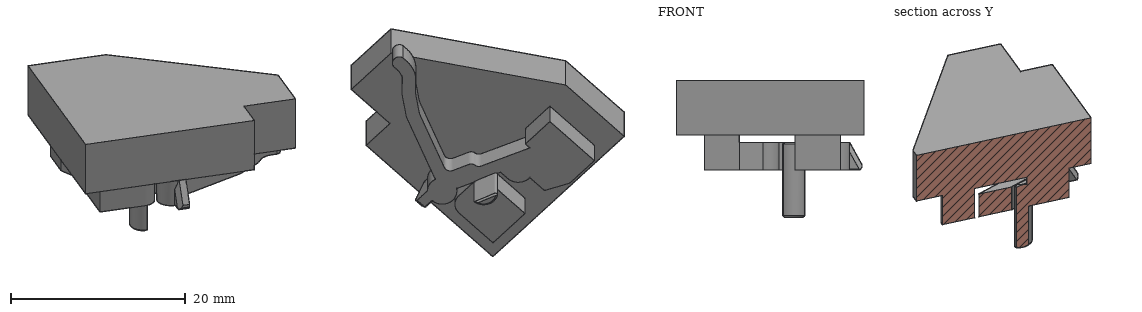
import cadquery as cq
import math


block_width = 21.5
block_length = 26.51
block_height = 6.3
bevel_start_y = 9.38
bevel_end_x = 11.1
notch_x = 17.6
notch_y = 20.3

foot_height = 3.99
left_foot_x = (3.2, 7.2)
left_foot_y = (1.65, 8.78)
right_foot_x = (13.58, 18.81)
right_foot_y = (2.6, 9.6)
right_foot_round = 1.55

lever_gap = 0.8
lever_height = foot_height - lever_gap
lever_angle = 23
lever_slope = math.tan(math.radians(lever_angle))
web_end_x = 9.92
web_end_y = 3.05
web_side_y = 5.42
shoulder_x = 11.77
shoulder_y = 7.05
band_front_y = 8.3
boss_center = (18.16, 11.39)
boss_radius = 1.68
step_low = (13.1, 10.57)
step_high = (13.25, 11.45)
step_round = 0.65
arm_root_round = 0.75

arm_width = 1.55
arm_root_y = 12.63
arm_bend_y = 20.17
arm_bend_round = 2.87
neck_angle = 36
neck_radius = 3.25
hook_angle = 55
hook_radius = 3.5
hook_left_x = 9.15
hook_center_y = 25.85
tip_arc_y = 26.51
tip_end_y = 27.1

nub_y = (11.25, 12.6)
nub_tip_x = 21.25
nub_tip_drop = 2.55
nub_tip_height = 0.33
nub_bottom_chamfer = 0.14
nub_base_x = 21.0
nub_chamfer = 0.55

pin_length = 9.43
pin_back_right = (14.72, 9.62)
pin_back_left = (12.3, 8.7)
pin_side_mid = (12.17, 8.49)
pin_front_left = (12.25, 8.3)
pin_front_mid = (13.0, 8.08)
pin_end_chamfer = 0.22


def box_between(x_range, y_range, height):
    """Box hanging below Z = 0."""
    width = x_range[1] - x_range[0]
    length = y_range[1] - y_range[0]
    box = cq.Workplane("XY").box(width, length, height, centered=False)
    return box.translate((x_range[0], y_range[0], -height))


def polar(center, radius, degrees):
    """Point at an angle measured from -X towards -Y around a center."""
    angle = math.radians(degrees)
    return (center[0] - radius * math.cos(angle), center[1] - radius * math.sin(angle))


def make_block():
    outline = [
        (0, 0),
        (block_width, 0),
        (block_width, notch_y),
        (notch_x, notch_y),
        (notch_x, block_length),
        (bevel_end_x, block_length),
        (0, bevel_start_y),
    ]
    return cq.Workplane("XY").polyline(outline).close().extrude(block_height)


def make_feet():
    left = box_between(left_foot_x, left_foot_y, foot_height)
    right = box_between(right_foot_x, right_foot_y, foot_height)
    right = right.edges("|Z and >Y").fillet(right_foot_round)
    return left.union(right)


def lever_plane():
    return cq.Workplane("XY").workplane(offset=-foot_height)


def make_arm(root_left, arm_bend, hook_center, neck_center):
    """Bent arm from the boss through a curved neck to the rounded hook tip."""
    neck_inner = -(neck_radius + arm_width)
    hook_inner = hook_radius - arm_width
    neck_mid_angle = (neck_angle + hook_angle) / 2
    hook_right_x = hook_left_x + arm_width
    tip_middle_x = hook_left_x + arm_width / 2
    return (
        lever_plane()
        .moveTo(*root_left)
        .lineTo(*arm_bend)
        .lineTo(*polar(neck_center, -neck_radius, neck_angle))
        .threePointArc(
            polar(neck_center, -neck_radius, neck_mid_angle),
            polar(neck_center, -neck_radius, hook_angle),
        )
        .threePointArc(polar(hook_center, hook_radius, hook_angle / 2), (hook_left_x, hook_center_y))
        .lineTo(hook_left_x, tip_arc_y)
        .threePointArc((tip_middle_x, tip_end_y), (hook_right_x, tip_arc_y))
        .lineTo(hook_right_x, hook_center_y)
        .threePointArc(
            polar(hook_center, hook_inner, hook_angle / 2),
            polar(hook_center, hook_inner, hook_angle),
        )
        .threePointArc(
            polar(neck_center, neck_inner, neck_mid_angle),
            polar(neck_center, neck_inner, neck_angle),
        )
        .lineTo(*polar(arm_bend, -arm_width, (lever_angle + neck_angle) / 2))
        .lineTo(*polar(root_left, -arm_width, lever_angle))
        .lineTo(*boss_center)
        .close()
        .extrude(lever_height)
    )


def make_lever():
    """Web beside the left foot, a band leading to the round boss, and the hooked arm."""
    hook_center = (hook_left_x + hook_radius, hook_center_y)
    neck_center = polar(hook_center, hook_radius + neck_radius, hook_angle)
    neck_end = polar(neck_center, -neck_radius, neck_angle)
    neck_slope = math.tan(math.radians(neck_angle))
    arm_bend = (neck_end[0] + (neck_end[1] - arm_bend_y) * neck_slope, arm_bend_y)
    root_left = (arm_bend[0] + (arm_bend_y - arm_root_y) * lever_slope, arm_root_y)
    arm = make_arm(root_left, arm_bend, hook_center, neck_center)
    foot_side = left_foot_x[1]
    back_y = step_low[1] - (step_low[0] - foot_side) * lever_slope
    band_end_y = band_front_y + (boss_center[0] - shoulder_x) * lever_slope
    shoulder_radius = shoulder_x - web_end_x
    quarter_turn_mid = math.sin(math.radians(45))
    shoulder_mid = (
        web_end_x + shoulder_radius * quarter_turn_mid,
        shoulder_y - (shoulder_y - web_side_y) * quarter_turn_mid,
    )
    web = (
        lever_plane()
        .moveTo(foot_side, left_foot_y[0])
        .lineTo(web_end_x, web_end_y)
        .lineTo(web_end_x, web_side_y)
        .threePointArc(shoulder_mid, (shoulder_x, shoulder_y))
        .lineTo(shoulder_x, band_front_y)
        .lineTo(boss_center[0], band_end_y)
        .lineTo(*boss_center)
        .lineTo(*root_left)
        .lineTo(*step_high)
        .lineTo(*step_low)
        .lineTo(foot_side, back_y)
        .close()
        .extrude(lever_height)
    )
    boss = lever_plane().center(*boss_center).circle(boss_radius).extrude(lever_height)
    lever = web.union(arm).union(boss)
    rounds = [
        (step_low, step_round),
        (step_high, step_round),
        (root_left, arm_root_round),
        (arm_bend, arm_bend_round),
    ]
    for corner, radius in rounds:
        middle = (*corner, -foot_height + lever_height / 2)
        lever = lever.edges(cq.selectors.NearestToPointSelector(middle)).fillet(radius)
    return lever


def make_nub():
    """Wedge that slopes outward and down from the top of the boss."""
    boss_right_x = boss_center[0] + boss_radius
    tip_z = -lever_gap - nub_tip_drop
    nub = (
        cq.Workplane("XZ", origin=(0, nub_y[1], 0))
        .moveTo(boss_center[0], -foot_height)
        .lineTo(boss_center[0], -lever_gap)
        .lineTo(boss_right_x, -lever_gap)
        .lineTo(nub_tip_x, tip_z)
        .lineTo(nub_tip_x, tip_z - nub_tip_height)
        .lineTo(nub_base_x, -foot_height)
        .close()
        .extrude(nub_y[1] - nub_y[0])
    )
    slope_middle = ((boss_right_x + nub_tip_x) / 2, nub_y[0], (tip_z - lever_gap) / 2)
    nub = nub.faces("<Z").edges("<Y").chamfer(nub_bottom_chamfer)
    return nub.edges(cq.selectors.NearestToPointSelector(slope_middle)).chamfer(nub_chamfer)


def make_pin():
    """Pin with a flat back and a bowed front."""
    return (
        cq.Workplane("XY", origin=(0, 0, -pin_length))
        .moveTo(*pin_back_right)
        .lineTo(*pin_back_left)
        .threePointArc(pin_side_mid, pin_front_left)
        .threePointArc(pin_front_mid, pin_back_right)
        .close()
        .extrude(pin_length - lever_gap)
        .faces("<Z or >Z")
        .edges()
        .chamfer(pin_end_chamfer)
    )


result = make_block().union(make_feet()).union(make_lever()).union(make_nub()).union(make_pin())